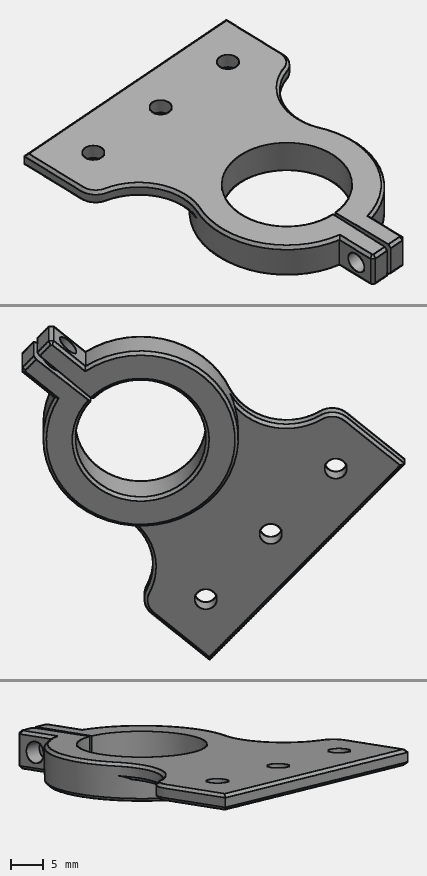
import cadquery as cq
import math

length = 55.9
width = 45.0
height = 6.0
plate_thickness = 2.5
edge_chamfer = 0.5

ring_x = 34.3
ring_radius = 15.0
bore_diameter = 20.0
ear_width = 7.15
slot_width_at_bore = 0.5
slot_width_at_end = 0.85

neck_x = 24.55
neck_radius = 9.75
corner_radius = 3.35
neck_overlap = 0.015

hole_diameter = 3.4
mount_hole_x = 7.5
mount_hole_pitch = 15.0
clamp_screw_x = 52.4

half_width = width / 2
neck_y = math.sqrt((ring_radius + neck_radius - neck_overlap) ** 2 - (ring_x - neck_x) ** 2)
corner_y = half_width - corner_radius
corner_x = neck_x - math.sqrt((neck_radius + corner_radius) ** 2 - (neck_y - corner_y) ** 2)


def arc_point(center, radius, angle):
    return (center[0] + radius * math.cos(angle), center[1] + radius * math.sin(angle))


def mirrored(point):
    return (point[0], -point[1])


def make_plate():
    """Flat mounting plate that ends on a chord inside the ring, chamfered underneath."""
    corner_center = (corner_x, corner_y)
    neck_center = (neck_x, neck_y)
    corner_to_neck = math.atan2(neck_y - corner_y, neck_x - corner_x)
    neck_end_angle = math.atan2(-neck_y, ring_x - neck_x)

    corner_start = (corner_x, half_width)
    corner_middle = arc_point(corner_center, corner_radius, (math.pi / 2 + corner_to_neck) / 2)
    corner_end = arc_point(corner_center, corner_radius, corner_to_neck)
    neck_middle_angle = (corner_to_neck - math.pi + neck_end_angle) / 2
    neck_middle = arc_point(neck_center, neck_radius, neck_middle_angle)
    neck_end = arc_point(neck_center, neck_radius, neck_end_angle)

    return (
        cq.Workplane("XY", origin=(0, 0, height - plate_thickness))
        .moveTo(0, half_width)
        .lineTo(*corner_start)
        .threePointArc(corner_middle, corner_end)
        .threePointArc(neck_middle, neck_end)
        .lineTo(*mirrored(neck_end))
        .threePointArc(mirrored(neck_middle), mirrored(corner_end))
        .threePointArc(mirrored(corner_middle), mirrored(corner_start))
        .lineTo(0, -half_width)
        .close()
        .extrude(plate_thickness)
        .faces("<Z")
        .edges("not >X")
        .chamfer(edge_chamfer)
    )


def make_clamp():
    """Full-height ring blank with the ear block on its +X side, chamfered underneath."""
    ears = (
        cq.Workplane("XY")
        .center((ring_x + length) / 2, 0)
        .rect(length - ring_x, ear_width)
        .extrude(height)
        .edges("|Z and >X")
        .chamfer(edge_chamfer)
    )
    ring = cq.Workplane("XY").center(ring_x, 0).circle(ring_radius).extrude(height)
    return ring.union(ears).faces("<Z").edges().chamfer(edge_chamfer)


def make_bore():
    """Bore cutter, flared at the bottom to chamfer the lower rim."""
    bore_radius = bore_diameter / 2
    flare_radius = bore_radius + edge_chamfer
    profile = [(0, 0), (flare_radius, 0), (bore_radius, edge_chamfer), (bore_radius, height), (0, height)]
    return cq.Workplane("XZ", origin=(ring_x, 0, 0)).polyline(profile).close().revolve(360, (0, 0), (0, 1))


def make_slot():
    """Split from the bore to the ear ends, slightly wider at the ends."""
    bore_edge_x = ring_x + bore_diameter / 2
    widening = (slot_width_at_end - slot_width_at_bore) / (length - bore_edge_x)
    slot_width_at_center = slot_width_at_bore - widening * (bore_edge_x - ring_x)
    inner = slot_width_at_center / 2
    outer = slot_width_at_end / 2
    corners = [(ring_x, -inner), (length, -outer), (length, outer), (ring_x, inner)]
    return cq.Workplane("XY").polyline(corners).close().extrude(height)


def make_mount_holes():
    centers = [(mount_hole_x, row * mount_hole_pitch) for row in (-1, 0, 1)]
    return cq.Workplane("XY").pushPoints(centers).circle(hole_diameter / 2).extrude(height)


def make_clamp_screw_hole():
    return (
        cq.Workplane("XZ")
        .center(clamp_screw_x, height / 2)
        .circle(hole_diameter / 2)
        .extrude(ear_width / 2, both=True)
    )


result = make_plate().union(make_clamp()).faces(">Z").edges().chamfer(edge_chamfer)
for cutter in (make_bore(), make_slot(), make_mount_holes(), make_clamp_screw_hole()):
    result = result.cut(cutter)